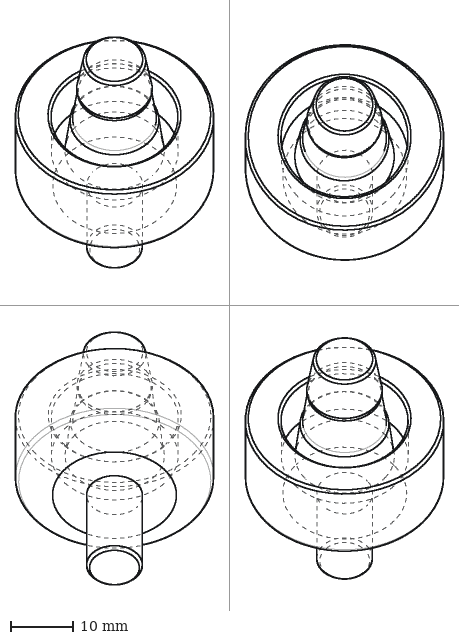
import cadquery as cq
import math

total_height = 48.4
body_bottom = 16.25
body_height = 17.85
body_top = body_bottom + body_height

body_diameter = 32.0
body_bottom_diameter = 20.0
underside_angle = 30.0
underside_fillet = 1.0
edge_chamfer = 0.5

shank_diameter = 9.0
shank_chamfer_width = 0.5
shank_chamfer_height = 0.6

pocket_diameter = 20.5
pocket_depth = 9.0
pocket_floor = body_top - pocket_depth

pin_base_diameter = 16.0
shoulder_diameter = 14.35
shoulder_height = 32.8
shoulder_fillet_height = 0.7
neck_bottom_diameter = 13.55
groove_bottom = 40.1
groove_bottom_diameter = 11.9
groove_floor_diameter = 11.7
lip_height = 40.85
lip_diameter = 12.2
pin_top_diameter = 10.05


def make_body():
    radius = body_diameter / 2
    bottom_radius = body_bottom_diameter / 2
    cone_height = (radius - bottom_radius) * math.tan(math.radians(underside_angle))
    blank = (
        cq.Workplane("XZ")
        .moveTo(0, body_bottom)
        .lineTo(bottom_radius, body_bottom)
        .lineTo(radius, body_bottom + cone_height)
        .lineTo(radius, body_top)
        .lineTo(0, body_top)
        .close()
        .revolve(360, (0, 0), (0, 1))
    )
    blank = blank.edges("%CIRCLE and (not >Z) and (not <Z)").fillet(underside_fillet)
    pocket = (
        cq.Workplane("XY", origin=(0, 0, pocket_floor))
        .circle(pocket_diameter / 2)
        .extrude(pocket_depth)
    )
    blank = blank.faces(">Z").edges().chamfer(edge_chamfer)
    mouth = cq.Workplane(
        cq.Solid.makeCone(
            pocket_diameter / 2,
            pocket_diameter / 2 + edge_chamfer,
            edge_chamfer,
            cq.Vector(0, 0, body_top - edge_chamfer),
        )
    )
    return blank.cut(pocket).cut(mouth)


def make_shank():
    radius = shank_diameter / 2
    return (
        cq.Workplane("XZ")
        .lineTo(radius - shank_chamfer_width, 0)
        .lineTo(radius, shank_chamfer_height)
        .lineTo(radius, pocket_floor)
        .lineTo(0, pocket_floor)
        .close()
        .revolve(360, (0, 0), (0, 1))
    )


def make_pin():
    shoulder_radius = shoulder_diameter / 2
    neck_radius = neck_bottom_diameter / 2
    neck_bottom = shoulder_height + shoulder_fillet_height
    top_radius = pin_top_diameter / 2
    groove_middle = (groove_bottom + lip_height) / 2
    bulge = 1 - math.sqrt(0.5)
    fillet_middle = (
        neck_radius + (shoulder_radius - neck_radius) * bulge,
        shoulder_height + shoulder_fillet_height * bulge,
    )
    return (
        cq.Workplane("XZ")
        .moveTo(0, pocket_floor)
        .lineTo(pin_base_diameter / 2, pocket_floor)
        .lineTo(shoulder_radius, shoulder_height)
        .threePointArc(fillet_middle, (neck_radius, neck_bottom))
        .lineTo(groove_bottom_diameter / 2, groove_bottom)
        .threePointArc((groove_floor_diameter / 2, groove_middle), (lip_diameter / 2, lip_height))
        .lineTo(top_radius, total_height - edge_chamfer)
        .lineTo(top_radius - edge_chamfer, total_height)
        .lineTo(0, total_height)
        .close()
        .revolve(360, (0, 0), (0, 1))
    )


result = make_body().union(make_shank()).union(make_pin())